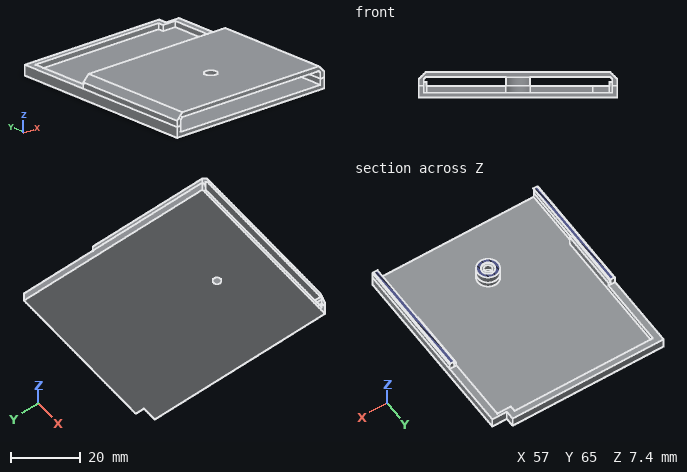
import cadquery as cq

width = 57.0
length = 65.0
height = 7.4
wall = 1.5

tray_height = 3.4
ledge = 0.85
rear_wall = 2.0
notch_width = 5.0
notch_depth = 3.0
notch_side_wall = 2.0
notch_rear_wall = 1.0

lid_length = 40.0
edge_chamfer = 2.1
inner_chamfer = 0.6

lip_height = 1.2
lip_length = 20.0

post_diameter = 7.0
screw_diameter = 2.5
head_diameter = 4.0
head_depth = 2.0
post_y = 17.0

half_width = width / 2
cavity_half_width = half_width - wall
lip_half_width = cavity_half_width - ledge
ceiling = height - wall
lip_front = lid_length - lip_length


def cylinder(diameter, bottom, top):
    """Vertical cylinder on the screw axis."""
    return (
        cq.Workplane("XY", origin=(0, post_y, bottom))
        .circle(diameter / 2)
        .extrude(top - bottom)
    )


def tray_outline():
    """Rectangular plate with a notch in its rear right corner."""
    return (
        cq.Workplane("XY")
        .moveTo(-half_width, 0)
        .lineTo(half_width, 0)
        .lineTo(half_width, length - notch_depth)
        .lineTo(half_width - notch_width, length - notch_depth)
        .lineTo(half_width - notch_width, length)
        .lineTo(-half_width, length)
        .close()
        .extrude(tray_height)
    )


def tray_pocket():
    """Pocket open to the front, stepped around the corner notch."""
    step_x = half_width - notch_width - notch_side_wall
    step_y = length - notch_depth - notch_rear_wall
    return (
        cq.Workplane("XY", origin=(0, 0, wall))
        .moveTo(-cavity_half_width, 0)
        .lineTo(cavity_half_width, 0)
        .lineTo(cavity_half_width, lip_front)
        .lineTo(lip_half_width, lip_front)
        .lineTo(lip_half_width, step_y)
        .lineTo(step_x, step_y)
        .lineTo(step_x, length - rear_wall)
        .lineTo(-lip_half_width, length - rear_wall)
        .lineTo(-lip_half_width, lip_front)
        .lineTo(-cavity_half_width, lip_front)
        .close()
        .extrude(tray_height - wall)
    )


def lip(side):
    """Locating lip on one side: -1 for left, 1 for right."""
    centre_x = side * (cavity_half_width - ledge / 2)
    return (
        cq.Workplane("XY", origin=(centre_x, lip_front + lip_length / 2, tray_height))
        .rect(ledge, lip_length)
        .extrude(lip_height)
    )


def make_base():
    """Tray with side lips and the lower half of the screw post."""
    base = tray_outline().cut(tray_pocket())
    for side in (-1, 1):
        base = base.union(lip(side))
    base = base.union(cylinder(post_diameter, wall, tray_height))
    return base.cut(cylinder(screw_diameter, 0, tray_height))


def make_lid():
    """Chamfered channel with the upper half of the screw post."""
    shell = (
        cq.Workplane("XZ")
        .moveTo(-half_width, tray_height)
        .lineTo(-half_width, height - edge_chamfer)
        .lineTo(-half_width + edge_chamfer, height)
        .lineTo(half_width - edge_chamfer, height)
        .lineTo(half_width, height - edge_chamfer)
        .lineTo(half_width, tray_height)
        .lineTo(cavity_half_width, tray_height)
        .lineTo(cavity_half_width, ceiling - inner_chamfer)
        .lineTo(cavity_half_width - inner_chamfer, ceiling)
        .lineTo(-cavity_half_width + inner_chamfer, ceiling)
        .lineTo(-cavity_half_width, ceiling - inner_chamfer)
        .lineTo(-cavity_half_width, tray_height)
        .close()
        .extrude(-lid_length)
    )
    lid = shell.union(cylinder(post_diameter, tray_height, ceiling))
    lid = lid.cut(cylinder(screw_diameter, tray_height, height))
    return lid.cut(cylinder(head_diameter, height - head_depth, height))


base = make_base()
lid = make_lid()

result = cq.Compound.makeCompound([base.val(), lid.val()])